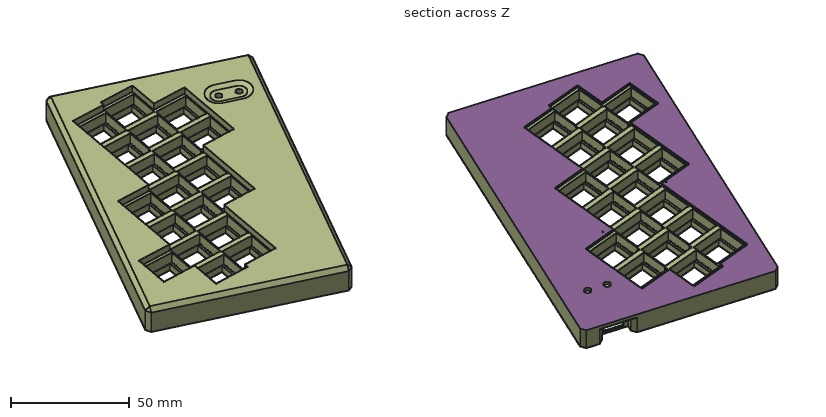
import cadquery as cq
import math

length = 142.8
width = 91.2
height = 13.0
edge_chamfer = 2.0

grid_angle = 20.9
grid_centre = (-0.7, -10.7)
longest_row_span = 99.0
longest_row_keys = 7
key_pitch = longest_row_span / (longest_row_keys - 1)
row_stagger = key_pitch / 2 - key_pitch * math.tan(math.radians(grid_angle))
key_rows = [(2, -2, 2), (1, -3, 5), (0, -3, longest_row_keys), (-1, 0, 4), (-2, 2, 1)]

cap_opening = 17.0
cap_depth = 3.5
cell_width = 14.0
cell_length = 16.0
cell_floor = 3.7
switch_hole = 13.8

port_y = 28.8
port_width = 13.3
port_height = 6.7
port_flare = 2.0
port_depth = 4.9
window_width = 9.3
window_height = 4.0
window_sill = 0.9
window_wall = 1.0

pocket_start = -length / 2 + port_depth + window_wall
pocket_width = 18.0
pocket_height = port_height
pocket_length = 21.0
ramp_angle = 30.0

slot_x = -49.7
slot_straight = 9.0
slot_floor_width = 7.1
slot_top_width = 12.0
slot_depth = 1.0
button_hole_diameter = 3.0
button_hole_depth = 3.0


def make_body():
    body = cq.Workplane("XY").box(length, width, height, centered=(True, True, False))
    return body.edges("|Z or >Z").chamfer(edge_chamfer)


def key_positions():
    angle = math.radians(grid_angle)
    positions = []
    for row, first_column, count in key_rows:
        for column in range(first_column, first_column + count):
            along = column * key_pitch - row * row_stagger
            across = row * key_pitch
            x = grid_centre[0] + along * math.cos(angle) - across * math.sin(angle)
            y = grid_centre[1] + along * math.sin(angle) + across * math.cos(angle)
            positions.append((x, y))
    return positions


def key_openings(size_along, size_across, bottom, top):
    def opening(location):
        block = cq.Workplane("XY", origin=(0, 0, bottom)).rect(size_along, size_across).extrude(top - bottom)
        return block.rotate((0, 0, 0), (0, 0, 1), grid_angle).val().moved(location)

    return cq.Workplane("XY").pushPoints(key_positions()).eachpoint(opening, combine=False)


def make_port():
    outer_x = -length / 2
    wall_face = cq.Workplane("YZ", origin=(outer_x, port_y, 0))

    def port_outline(plane, margin):
        return plane.rect(port_width + 2 * margin, 2 * (port_height + margin))

    mouth = port_outline(wall_face, port_flare).workplane(offset=port_flare)
    flare = port_outline(mouth, 0).loft(ruled=True)
    recess = port_outline(wall_face, 0).extrude(port_depth)
    window = (
        cq.Workplane("YZ", origin=(outer_x, port_y, window_sill + window_height / 2))
        .rect(window_width, window_height)
        .extrude(port_depth + 2 * window_wall)
    )
    return flare.union(recess).union(window)


def make_board_pocket():
    ramp_run = pocket_height * math.tan(math.radians(ramp_angle))
    pocket_end = pocket_start + pocket_length
    profile = [
        (pocket_start, 0),
        (pocket_end + ramp_run, 0),
        (pocket_end, pocket_height),
        (pocket_start, pocket_height),
    ]
    side = cq.Workplane("XZ", origin=(0, port_y, 0)).polyline(profile).close()
    return side.extrude(pocket_width / 2, both=True)


def make_button_slot():
    dish = (
        cq.Workplane("XY", origin=(slot_x, port_y, height - slot_depth))
        .slot2D(slot_straight + slot_floor_width, slot_floor_width, 90)
        .workplane(offset=slot_depth)
        .slot2D(slot_straight + slot_top_width, slot_top_width, 90)
        .loft(ruled=True)
    )
    holes = (
        cq.Workplane("XY", origin=(slot_x, port_y, height - slot_depth))
        .pushPoints([(0, -slot_straight / 2), (0, slot_straight / 2)])
        .circle(button_hole_diameter / 2)
        .extrude(-button_hole_depth)
    )
    return dish.union(holes)


result = (
    make_body()
    .cut(key_openings(cap_opening, cap_opening, height - cap_depth, height))
    .cut(key_openings(cell_width, cell_length, cell_floor, height))
    .cut(key_openings(switch_hole, switch_hole, 0, height))
    .cut(make_port())
    .cut(make_board_pocket())
    .cut(make_button_slot())
)